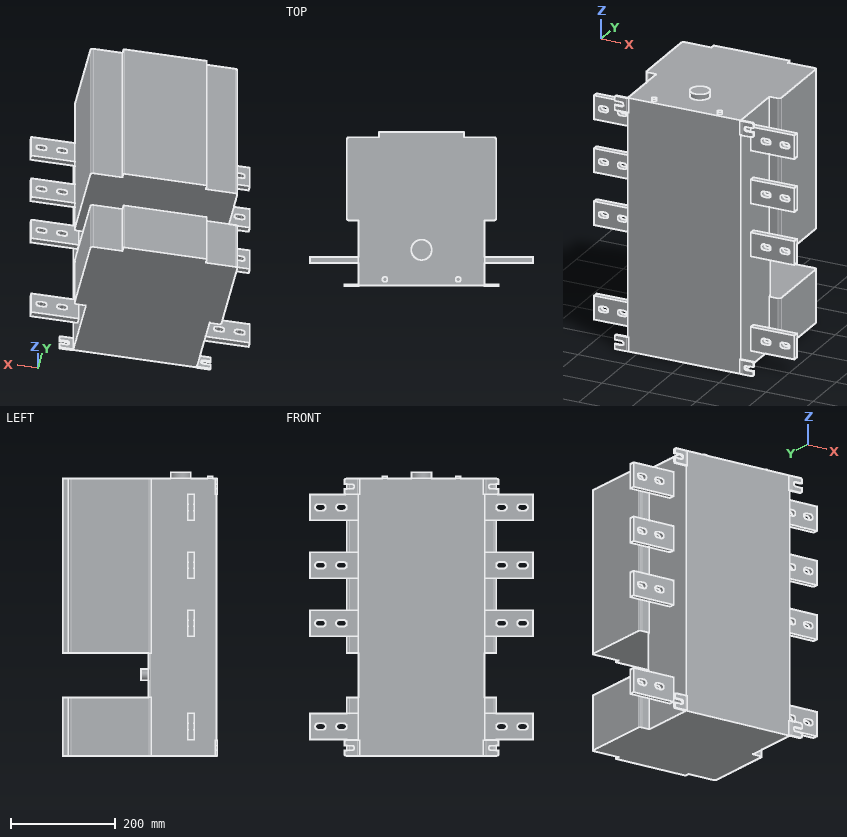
import cadquery as cq


housing_height = 530.0
body_half_width = 120.0
body_back_y = 130.0
wing_half_width = 143.0
ridge_half_width = 81.0
wing_front_y = 124.0
ridge_back_y = 293.5
ridge_height = 10.5
wing_back_y = ridge_back_y - ridge_height
wing_edge_radius = 5.0
ridge_edge_radius = 1.5
body_edge_radius = 4.0

opening_bottom_z = 112.0
opening_top_z = 196.5

bar_tip_x = 213.0
bar_thickness = 12.0
bar_height = 50.0
bar_centre_y = 49.0
bar_pitch = 110.5
top_bar_z = 474.5
bottom_bar_z = 56.5
bar_levels = [bottom_bar_z] + [top_bar_z - i * bar_pitch for i in range(3)]
slot_length = 20.0
slot_width = 12.0
slot_end_distance = 20.0
slot_pitch = 40.0

foot_bend_start_x = 123.0
foot_bend_radius = 8.0
foot_outer_x = 147.5
foot_height = 30.0
foot_thickness = 4.0
foot_protrusion = 1.5
foot_corner_radius = 3.0
foot_end_gap = 0.5
foot_slot_width = 9.0
foot_slot_depth = 19.0

knob_diameter = 39.0
knob_y = 68.0
knob_height = 12.0
pin_diameter = 10.0
pin_height = 4.5
pin_x = 70.0
pin_y = 12.0
button_diameter = 22.0
button_height = 14.0
button_z = 155.5


def box(x_range, y_range, z_range):
    """Axis-aligned box between the given limits."""
    size = [limits[1] - limits[0] for limits in (x_range, y_range, z_range)]
    corner = (x_range[0], y_range[0], z_range[0])
    return cq.Workplane("XY").box(*size, centered=False).translate(corner)


def make_body():
    """Plain front block, rounded along its two rear upright edges."""
    block = box((-body_half_width, body_half_width), (0, body_back_y), (0, housing_height))
    return block.edges("|Z and >Y").fillet(body_edge_radius)


def make_cover(bottom_z, top_z):
    """Wide rear cover with a raised ridge down its back and rounded upright edges."""
    wings = box((-wing_half_width, wing_half_width), (wing_front_y, wing_back_y), (bottom_z, top_z))
    ridge = box((-ridge_half_width, ridge_half_width), (wing_front_y, ridge_back_y), (bottom_z, top_z))
    wings = wings.edges("|Z").fillet(wing_edge_radius)
    ridge = ridge.edges("|Z and >Y").fillet(ridge_edge_radius)
    return wings.union(ridge)


def make_bar(level):
    """Flat terminal bar through the housing, with two slots at each end."""
    outer_slot_x = bar_tip_x - slot_end_distance
    inner_slot_x = outer_slot_x - slot_pitch
    slot_positions = [(sign * x, 0) for sign in (-1, 1) for x in (inner_slot_x, outer_slot_x)]
    return (
        cq.Workplane("XZ", origin=(0, bar_centre_y, level))
        .rect(2 * bar_tip_x, bar_height)
        .extrude(bar_thickness / 2, both=True)
        .pushPoints(slot_positions)
        .slot2D(slot_length, slot_width)
        .cutThruAll()
    )


def make_foot(bottom_z):
    """Right-hand mounting tab, bent into the housing, with a round-bottomed slot open at its outer end."""
    back_y = foot_thickness - foot_protrusion
    bend_end = (foot_bend_start_x - foot_bend_radius, foot_bend_radius - foot_protrusion)
    tab = (
        cq.Workplane("XY", origin=(0, 0, bottom_z))
        .moveTo(foot_bend_start_x, -foot_protrusion)
        .lineTo(foot_outer_x, -foot_protrusion)
        .lineTo(foot_outer_x, back_y)
        .lineTo(body_half_width, back_y)
        .lineTo(body_half_width, bend_end[1])
        .lineTo(*bend_end)
        .radiusArc((foot_bend_start_x, -foot_protrusion), -foot_bend_radius)
        .close()
        .extrude(foot_height)
    )
    tab = tab.edges("|Y and >X").fillet(foot_corner_radius)
    slot = (
        cq.Workplane("XZ", origin=(foot_outer_x, back_y, bottom_z + foot_height / 2))
        .slot2D(2 * foot_slot_depth, foot_slot_width)
        .extrude(foot_thickness)
    )
    return tab.cut(slot)


def make_bosses():
    """Knob and two pins on the top face, and a button on the floor of the opening."""
    top = cq.Workplane("XY", origin=(0, 0, housing_height))
    knob = top.center(0, knob_y).circle(knob_diameter / 2).extrude(knob_height)
    pins = top.pushPoints([(-pin_x, pin_y), (pin_x, pin_y)]).circle(pin_diameter / 2).extrude(pin_height)
    button = (
        cq.Workplane("XZ", origin=(0, body_back_y, button_z))
        .circle(button_diameter / 2)
        .extrude(-button_height)
    )
    return [knob, pins, button]


result = make_body()
for bottom_z, top_z in ((0, opening_bottom_z), (opening_top_z, housing_height)):
    result = result.union(make_cover(bottom_z, top_z))
for level in bar_levels:
    result = result.union(make_bar(level))
for bottom_z in (foot_end_gap, housing_height - foot_end_gap - foot_height):
    foot = make_foot(bottom_z)
    result = result.union(foot).union(foot.mirror("YZ"))
for boss in make_bosses():
    result = result.union(boss)